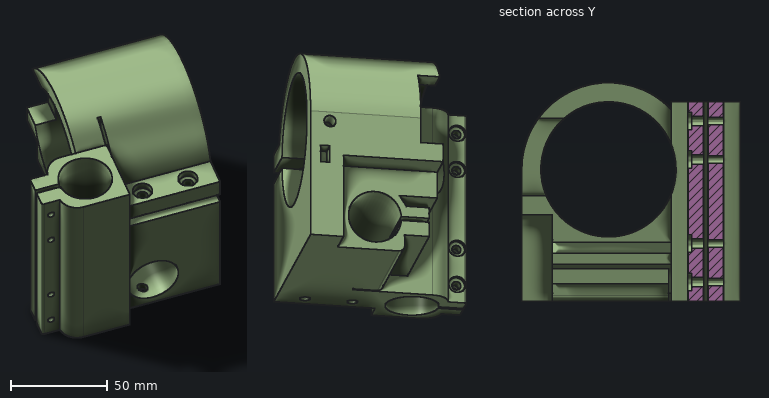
import cadquery as cq
import math


overall_size = 113.5

ring_radius = 45.1
bore_radius = 35.0
body_depth = 69.9
body_width = 103.1
ring_x = ring_radius
ring_z = overall_size - ring_radius

flange_top = 81.5
split_height = 5.9
split_bottom = ring_z - split_height / 2
flange_hole_x = 95.5
flange_hole_depths = (15.1, 40.1)
flange_hole_diameter = 5.5
flange_counterbore_diameter = 10.1
flange_counterbore_depth = 4.0

rod_radius = 14.0
clamp_slot = 2.2

tower_width = 36.0
tower_height = 103.5
tower_back = 53.5
tower_corner_radius = 10.0
tower_left = overall_size - tower_width
tower_x = overall_size - tower_width / 2
tower_rod_depth = 71.6
tower_corner_depth = 79.0
tower_front = tower_corner_depth + tower_corner_radius
ear_width = 18.6
ear_front = 98.7
ear_edge_radius = 1.2
screw_depth = 93.6
outer_screw_inset = 10.0
inner_screw_inset = 30.0
screw_heights = (
    outer_screw_inset,
    inner_screw_inset,
    tower_height - inner_screw_inset,
    tower_height - outer_screw_inset,
)
screw_clearance_diameter = 4.5
screw_tapped_diameter = 3.5
screw_counterbore_diameter = 8.7
screw_counterbore_depth = 2.0

relief_left = 63.3
relief_thickness = 1.7

rod_depth = 37.0
rod_z = 18.0
jaw_front = 65.6
jaw_top = 25
jaw_bottom = 9.1
jaw_end_gap = 1.2
overhang_z = 30.6
undercut_depth = 49.9
jaw_root_depth = 53.6
lower_front = 52.7
lower_edge_radius = 3.1

leg_depth = 17.4
side_recess_width = 16.0
side_recess_height = 45.0
window_back = 58.2
window_bottom = 54.7
window_top = 95.0
side_hole_depth = 10.2
side_hole_z = 63.3
side_hole_diameter = 6.1
pocket_back = 5.2
pocket_front = 10.2
pocket_bottom = 40.5
pocket_top = 49.7
pocket_length = 9.1


def box(x_range, depth_range, z_range):
    """Block spanning the given X, depth (distance towards -Y) and Z ranges."""
    size_x = x_range[1] - x_range[0]
    size_y = depth_range[1] - depth_range[0]
    size_z = z_range[1] - z_range[0]
    block = cq.Workplane("XY").box(size_x, size_y, size_z, centered=False)
    return block.translate((x_range[0], -depth_range[1], z_range[0]))


def cylinder_x(radius, depth, z, start, end):
    profile = cq.Workplane("YZ", origin=(start, -depth, z))
    return profile.circle(radius).extrude(end - start)


def cylinder_y(radius, x, z, front):
    return cq.Workplane("XZ", origin=(x, 0, z)).circle(radius).extrude(front)


def cylinder_z(radius, x, depth, bottom, top):
    profile = cq.Workplane("XY", origin=(x, -depth, bottom))
    return profile.circle(radius).extrude(top - bottom)


def make_body():
    """Ring on a square base, with the flange block reaching out to +X."""
    ring = cylinder_y(ring_radius, ring_x, ring_z, body_depth)
    base = box((0, 2 * ring_radius), (0, body_depth), (0, ring_z))
    flange = box((ring_x, body_width), (0, body_depth), (0, flange_top))
    return ring.union(base).union(flange)


def cut_lower_front(body):
    """Shape the front below the ring into two jaws closing on the horizontal rod."""
    upper_notch = (
        cq.Workplane("YZ")
        .moveTo(-undercut_depth, overhang_z)
        .lineTo(-jaw_root_depth, jaw_top)
        .lineTo(-jaw_front, jaw_top)
        .lineTo(-jaw_front, 0)
        .lineTo(-body_depth, 0)
        .lineTo(-body_depth, overhang_z)
        .close()
        .extrude(tower_left)
    )
    arc_center = lower_front - lower_edge_radius
    arc_offset = lower_edge_radius * math.sqrt(0.5)
    lower_notch = (
        cq.Workplane("YZ")
        .moveTo(-jaw_front, jaw_bottom)
        .lineTo(-lower_front, jaw_bottom)
        .lineTo(-lower_front, lower_edge_radius)
        .threePointArc(
            (-arc_center - arc_offset, lower_edge_radius - arc_offset),
            (-arc_center, 0),
        )
        .lineTo(-jaw_front, 0)
        .close()
        .extrude(tower_left)
    )
    return body.cut(upper_notch).cut(lower_notch)


def make_tower():
    """Vertical clamp block with rounded front corners and two clamping ears."""
    block = box((tower_left, overall_size), (tower_back, tower_front), (0, tower_height))
    block = block.edges("|Z and <Y").fillet(tower_corner_radius)
    ear_left = tower_x - ear_width / 2
    ears = box((ear_left, ear_left + ear_width), (tower_rod_depth, ear_front), (0, tower_height))
    ears = ears.edges("|Z and <Y").fillet(ear_edge_radius)
    return block.union(ears)


def cut_tower_clamp(part):
    """Rod bore, clamping slot and clamp screw holes of the vertical clamp."""
    slot_x = (tower_x - clamp_slot / 2, tower_x + clamp_slot / 2)
    part = part.cut(cylinder_z(rod_radius, tower_x, tower_rod_depth, 0, tower_height))
    part = part.cut(box(slot_x, (tower_rod_depth, ear_front), (0, tower_height)))
    ear_left = tower_x - ear_width / 2
    ear_right = tower_x + ear_width / 2
    seat = ear_left + screw_counterbore_depth
    for z in screw_heights:
        part = part.cut(cylinder_x(screw_tapped_diameter / 2, screw_depth, z, tower_x, ear_right))
        part = part.cut(cylinder_x(screw_clearance_diameter / 2, screw_depth, z, ear_left, tower_x))
        part = part.cut(cylinder_x(screw_counterbore_diameter / 2, screw_depth, z, tower_left, seat))
    return part


def cut_rod_clamp(part):
    """Rod bore, clamping slot and free lower-jaw end of the horizontal clamp."""
    slot_bottom = rod_z - clamp_slot / 2
    slot_top = rod_z + clamp_slot / 2
    part = part.cut(cylinder_x(rod_radius, rod_depth, rod_z, 0, body_width))
    part = part.cut(box((0, tower_left), (rod_depth, jaw_front), (slot_bottom, slot_top)))
    gap_x = (tower_left - jaw_end_gap, tower_left)
    return part.cut(box(gap_x, (rod_depth, jaw_front), (0, slot_top)))


def cut_flange(part):
    """Flange split, relief slit in front of it and counterbored screw holes."""
    relief_back = tower_back - relief_thickness
    split_z = (split_bottom, split_bottom + split_height)
    part = part.cut(box((ring_x, body_width), (0, tower_back), split_z))
    relief_z = (split_bottom, overall_size)
    part = part.cut(box((relief_left, body_width), (relief_back, tower_back), relief_z))
    seat = flange_top - flange_counterbore_depth
    for depth in flange_hole_depths:
        part = part.cut(cylinder_z(flange_hole_diameter / 2, flange_hole_x, depth, 0, flange_top))
        part = part.cut(
            cylinder_z(flange_counterbore_diameter / 2, flange_hole_x, depth, seat, flange_top)
        )
    return part


def cut_left_side(part):
    """Corner recess beside the leg, ring window, round hole and blind pocket."""
    recess = box((0, side_recess_width), (leg_depth, body_depth), (0, side_recess_height))
    window = box((0, ring_x), (window_back, body_depth), (window_bottom, window_top))
    hole = cylinder_x(side_hole_diameter / 2, side_hole_depth, side_hole_z, 0, ring_x)
    pocket = box((0, pocket_length), (pocket_back, pocket_front), (pocket_bottom, pocket_top))
    return part.cut(recess).cut(window).cut(hole).cut(pocket)


part = cut_lower_front(make_body()).union(make_tower())
part = part.cut(cylinder_y(bore_radius, ring_x, ring_z, ear_front))
part = cut_tower_clamp(part)
part = cut_rod_clamp(part)
part = cut_flange(part)
result = cut_left_side(part)